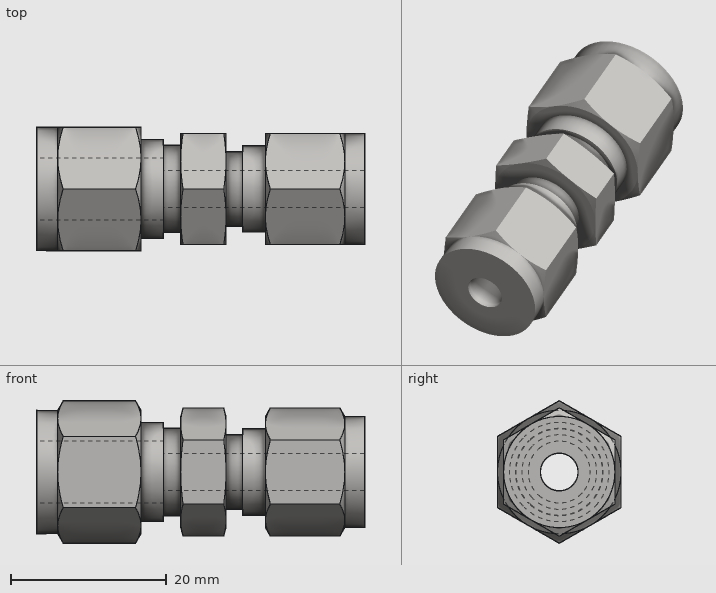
import cadquery as cq
import math


large_nut_start = 2.7
large_nut_end = 13.4
large_collar_end = 16.27
body_hex_start = 18.5
body_hex_end = 24.33
small_collar_start = 26.48
small_nut_start = 29.4
small_nut_end = 39.6
overall_length = 42.15

large_nut_corners = 18.35
large_nut_flats = large_nut_corners * math.cos(math.radians(30))
small_hex_flats = 14.3

large_collar_diameter = 12.77
large_neck_diameter = 11.25
small_neck_diameter = 9.6
small_collar_diameter = 11.15

bore_diameter = 4.8
socket_diameter = 7.95
socket_depth = large_collar_end

nut_chamfer_angle = 30.0
body_chamfer_angle = 15.0


def cylinder(start, end, diameter):
    """Round section along X between two stations."""
    return cq.Workplane("YZ", origin=(start, 0, 0)).circle(diameter / 2).extrude(end - start)


def chamfered_hexagon(start, end, across_flats, chamfer_angle):
    """Hexagon along X, corners up and down, with both ends trimmed by cones."""
    across_corners = across_flats / math.cos(math.radians(30))
    prism = (
        cq.Workplane("YZ", origin=(start, 0, 0))
        .transformed(rotate=(0, 0, 90))
        .polygon(6, across_corners)
        .extrude(end - start)
    )
    flat_radius = across_flats / 2
    corner_radius = across_corners / 2
    chamfer_length = (corner_radius - flat_radius) * math.tan(math.radians(chamfer_angle))
    envelope = (
        cq.Workplane("XY")
        .moveTo(start, 0)
        .lineTo(start, flat_radius)
        .lineTo(start + chamfer_length, corner_radius)
        .lineTo(end - chamfer_length, corner_radius)
        .lineTo(end, flat_radius)
        .lineTo(end, 0)
        .close()
        .revolve(360, (0, 0, 0), (1, 0, 0))
    )
    return prism.intersect(envelope)


result = cylinder(0, large_nut_start, large_nut_flats)
result = result.union(
    chamfered_hexagon(large_nut_start, large_nut_end, large_nut_flats, nut_chamfer_angle)
)

result = result.union(cylinder(large_nut_end, large_collar_end, large_collar_diameter))
result = result.union(cylinder(large_collar_end, body_hex_start, large_neck_diameter))
result = result.union(
    chamfered_hexagon(body_hex_start, body_hex_end, small_hex_flats, body_chamfer_angle)
)
result = result.union(cylinder(body_hex_end, small_collar_start, small_neck_diameter))
result = result.union(cylinder(small_collar_start, small_nut_start, small_collar_diameter))

result = result.union(
    chamfered_hexagon(small_nut_start, small_nut_end, small_hex_flats, nut_chamfer_angle)
)
result = result.union(cylinder(small_nut_end, overall_length, small_hex_flats))

result = result.cut(cylinder(0, overall_length, bore_diameter))
result = result.cut(cylinder(0, socket_depth, socket_diameter))